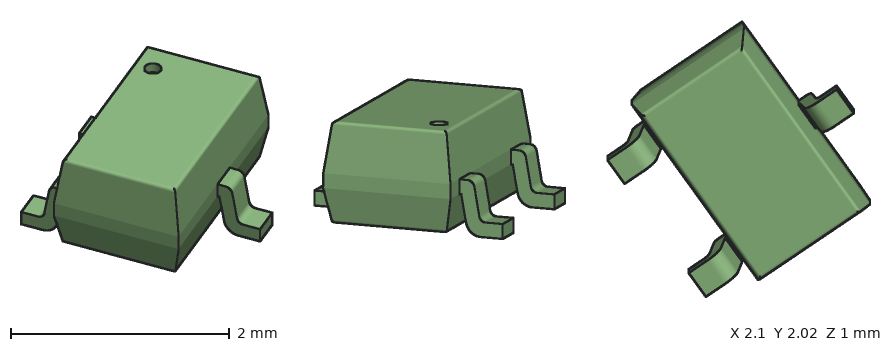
import cadquery as cq
import math

SPAN_X = 2.1
BODY_X = 1.25
BODY_Y = 2.02
BODY_TOP = 1.0
BODY_BOTTOM = 0.05
BELT_TOP = 0.525
TAPER_INSET = 0.065
EDGE_RADIUS = 0.034

MARK_DIAMETER = 0.155
MARK_DEPTH = 0.1
MARK_FROM_SIDE = 0.252
MARK_FROM_END = 0.361

LEAD_THICKNESS = 0.14
LEAD_WIDTH = 0.275
LEAD_PITCH = 1.3
FOOT_LENGTH = 0.22
LEG_ANGLE = 10.0
SHOULDER_RADIUS = 0.07
FOOT_INNER_RADIUS = 0.063
FOOT_OUTER_RADIUS = 0.15

BELT_BOTTOM = BELT_TOP - LEAD_THICKNESS


def tapered_half(start_z, end_z):
    """Half of the housing, narrowing from the band to an end face."""
    height = end_z - start_z
    taper_angle = math.degrees(math.atan(TAPER_INSET / abs(height)))
    return (
        cq.Workplane("XY", origin=(0, 0, start_z))
        .rect(BODY_X, BODY_Y)
        .extrude(height, taper=taper_angle)
    )


def make_housing():
    """Moulded housing with a straight band, two tapers and a round pin-one mark."""
    belt = (
        cq.Workplane("XY", origin=(0, 0, BELT_BOTTOM))
        .rect(BODY_X, BODY_Y)
        .extrude(LEAD_THICKNESS)
    )
    upper = tapered_half(BELT_TOP, BODY_TOP).faces(">Z").edges().fillet(EDGE_RADIUS)
    lower = tapered_half(BELT_BOTTOM, BODY_BOTTOM).faces("<Z").edges().fillet(EDGE_RADIUS)
    mark = (
        cq.Workplane("XY", origin=(0, 0, BODY_TOP - MARK_DEPTH))
        .center(MARK_FROM_SIDE - BODY_X / 2, BODY_Y / 2 - MARK_FROM_END)
        .circle(MARK_DIAMETER / 2)
        .extrude(MARK_DEPTH)
    )
    return belt.union(upper).union(lower).cut(mark)


def make_lead(center_y):
    """Gull-wing lead on the -X side, from its tip to the housing band."""
    tip_x = -SPAN_X / 2
    body_side_x = -BODY_X / 2
    lean = math.tan(math.radians(LEG_ANGLE))
    leg_width = LEAD_THICKNESS / math.cos(math.radians(LEG_ANGLE))

    def leg_x(z):
        """Position of the outer face of the leg at height z."""
        return tip_x + FOOT_LENGTH + (z - LEAD_THICKNESS) * lean

    lead = (
        cq.Workplane("XZ", origin=(0, center_y + LEAD_WIDTH / 2, 0))
        .moveTo(tip_x, 0)
        .lineTo(tip_x, LEAD_THICKNESS)
        .lineTo(leg_x(LEAD_THICKNESS), LEAD_THICKNESS)
        .lineTo(leg_x(BELT_TOP), BELT_TOP)
        .lineTo(body_side_x, BELT_TOP)
        .lineTo(body_side_x, BELT_BOTTOM)
        .lineTo(leg_x(BELT_BOTTOM) + leg_width, BELT_BOTTOM)
        .lineTo(leg_x(0) + leg_width, 0)
        .close()
        .extrude(LEAD_WIDTH)
    )

    def bend_edge(x, z):
        """Selector for the bend edge that runs along Y through (x, z)."""
        return cq.selectors.NearestToPointSelector((x, center_y, z))

    lead = lead.edges(bend_edge(leg_x(BELT_TOP), BELT_TOP)).fillet(SHOULDER_RADIUS)
    lead = lead.edges(bend_edge(leg_x(LEAD_THICKNESS), LEAD_THICKNESS)).fillet(FOOT_INNER_RADIUS)
    return lead.edges(bend_edge(leg_x(0) + leg_width, 0)).fillet(FOOT_OUTER_RADIUS)


housing = make_housing()

leads = [make_lead(y) for y in (-LEAD_PITCH / 2, LEAD_PITCH / 2)]
leads.append(make_lead(0).rotate((0, 0, 0), (0, 0, 1), 180))

result = cq.Compound.makeCompound([housing.val(), *[lead.val() for lead in leads]])